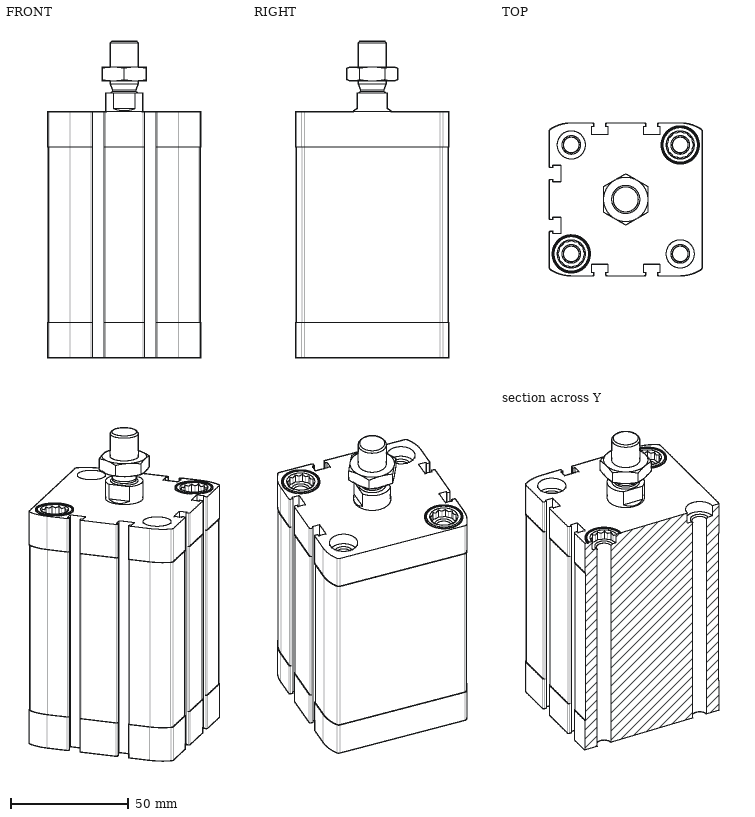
import cadquery as cq
import math


width = 65.5
housing_height = 105.0
cap_height = 15.1
barrel_inset = 0.3
corner_radius = 16.5
corner_fillet = 1.4

slot_spacing = 22.2
slot_mouth_width = 5.0
slot_width = 6.9
slot_depth = 5.0
slot_lip = 1.6
slot_mouth_fillet = 0.5

hole_offset = 23.3
through_diameter = 6.6
countersink_diameter = 8.0
countersink_depth = 0.7
counterbore_diameter = 12.0
counterbore_depth = 5.1

socket_tip_diameter = 11.5
socket_valley_diameter = 10.7
socket_points = 12
socket_depth = 4.3
socket_mouth_diameter = 12.0
socket_mouth_depth = 1.2
groove_outer_diameter = 16.4
groove_floor_diameter = 15.5
groove_top_diameter = 14.7
groove_depth = 0.4

total_height = 135.2
rod_diameter = 16.0
rod_bottom_z = housing_height - cap_height
rod_shoulder_z = 113.0
neck_diameter = 10.1
neck_base_diameter = 11.8
neck_bottom_z = 113.6
neck_top_z = 114.4
thread_diameter = 12.0
thread_bottom_z = 117.0
tip_diameter = 10.7
tip_chamfer_height = 0.8
wrench_width = 13.0
wrench_bottom_z = 106.4
wrench_runout_height = 1.0

nut_width = 18.9
nut_height = 6.0
nut_bottom_z = 118.2
nut_chamfer_height = 0.5
nut_corner_diameter = nut_width / math.cos(math.pi / 6)


def bowed_block(height, inset):
    """Block with all sides drawn in by the inset and corners that curve in from the Y sides."""
    half = width / 2 - inset
    radius = corner_radius - inset
    run = half - hole_offset
    drop = radius - math.sqrt(radius**2 - run**2)
    mid_angle = math.asin(run / radius) / 2
    mid_x = hole_offset + radius * math.sin(mid_angle)
    mid_y = half - radius * (1 - math.cos(mid_angle))
    side_y = half - drop
    outline = (
        cq.Workplane("XY")
        .moveTo(-hole_offset, half)
        .lineTo(hole_offset, half)
        .threePointArc((mid_x, mid_y), (half, side_y))
        .lineTo(half, -side_y)
        .threePointArc((mid_x, -mid_y), (hole_offset, -half))
        .lineTo(-hole_offset, -half)
        .threePointArc((-mid_x, -mid_y), (-half, -side_y))
        .lineTo(-half, side_y)
        .threePointArc((-mid_x, mid_y), (-hole_offset, half))
        .close()
    )
    return outline.extrude(height).edges("|Z and (<X or >X)").fillet(corner_fillet)


def slot_cutter(height, inset):
    """T-slot with a rounded mouth that opens toward +Y, centred on X = 0."""
    face = width / 2 - inset
    floor = width / 2 - slot_depth
    lip = width / 2 - slot_lip
    mouth = slot_mouth_width / 2
    flare = mouth + slot_mouth_fillet
    arc_centre_y = face - slot_mouth_fillet
    arc_mid_x = flare - slot_mouth_fillet * math.cos(math.pi / 4)
    arc_mid_y = arc_centre_y + slot_mouth_fillet * math.sin(math.pi / 4)
    return (
        cq.Workplane("XY")
        .moveTo(-slot_width / 2, floor)
        .lineTo(slot_width / 2, floor)
        .lineTo(slot_width / 2, lip)
        .lineTo(mouth, lip)
        .lineTo(mouth, arc_centre_y)
        .threePointArc((arc_mid_x, arc_mid_y), (flare, face))
        .lineTo(-flare, face)
        .threePointArc((-arc_mid_x, arc_mid_y), (-mouth, arc_centre_y))
        .lineTo(-mouth, lip)
        .lineTo(-slot_width / 2, lip)
        .close()
        .extrude(height)
    )


def slotted_section(bottom_z, height, inset):
    """One length of the housing, with two slots in each side but +X."""
    section = bowed_block(height, inset)
    for side_angle in (0, 90, 180):
        for slot_x in (-slot_spacing / 2, slot_spacing / 2):
            cutter = slot_cutter(height, inset).translate((slot_x, 0, 0))
            section = section.cut(cutter.rotate((0, 0, 0), (0, 0, 1), side_angle))
    return section.translate((0, 0, bottom_z))


def disc(diameter, bottom_z, height):
    return cq.Workplane("XY").workplane(offset=bottom_z).circle(diameter / 2).extrude(height)


def cone(bottom_diameter, top_diameter, bottom_z, height):
    solid = cq.Solid.makeCone(bottom_diameter / 2, top_diameter / 2, height, cq.Vector(0, 0, bottom_z))
    return cq.Workplane("XY").add(solid)


def countersunk_hole(seat_z):
    """Through hole, countersunk where it meets the seat."""
    sink = cone(through_diameter, countersink_diameter, seat_z - countersink_depth, countersink_depth)
    return disc(through_diameter, 0, seat_z).union(sink)


def counterbored_hole():
    seat_z = housing_height - counterbore_depth
    return countersunk_hole(seat_z).union(disc(counterbore_diameter, seat_z, counterbore_depth))


def star_prism(bottom_z, height):
    """Star-shaped prism with its first tip on the X axis."""
    half_step = math.pi / socket_points
    corners = []
    for index in range(2 * socket_points):
        diameter = socket_valley_diameter if index % 2 else socket_tip_diameter
        angle = index * half_step
        corners.append((diameter / 2 * math.cos(angle), diameter / 2 * math.sin(angle)))
    return cq.Workplane("XY").workplane(offset=bottom_z).polyline(corners).close().extrude(height)


def ring_groove():
    """Shallow groove whose inner wall is a cone."""
    bottom_z = housing_height - groove_depth
    island = cone(groove_floor_diameter, groove_top_diameter, bottom_z, groove_depth)
    return disc(groove_outer_diameter, bottom_z, groove_depth).cut(island)


def socket_hole():
    """Star socket with a conical mouth, above a countersunk through hole."""
    seat_z = housing_height - socket_depth
    mouth_bottom_z = housing_height - socket_mouth_depth
    mouth = cone(socket_valley_diameter, socket_mouth_diameter, mouth_bottom_z, socket_mouth_depth)
    return countersunk_hole(seat_z).union(star_prism(seat_z, socket_depth)).union(mouth)


def make_housing():
    barrel_height = housing_height - 2 * cap_height
    housing = (
        slotted_section(0, cap_height, 0)
        .union(slotted_section(cap_height, barrel_height, barrel_inset))
        .union(slotted_section(housing_height - cap_height, cap_height, 0))
    )
    for side in (-1, 1):
        plain_corner = (side * hole_offset, -side * hole_offset, 0)
        socket_corner = (side * hole_offset, side * hole_offset, 0)
        housing = housing.cut(counterbored_hole().translate(plain_corner))
        housing = housing.cut(socket_hole().translate(socket_corner))
        housing = housing.cut(ring_groove().translate(socket_corner))
    return housing.cut(disc(rod_diameter, rod_bottom_z, cap_height))


def wrench_flat_cutter():
    """Flat on the +Y side of the rod, with a sloped run-out at its lower end."""
    flat_y = wrench_width / 2
    outer_y = rod_diameter / 2
    return (
        cq.Workplane("YZ")
        .moveTo(flat_y, rod_shoulder_z)
        .lineTo(flat_y, wrench_bottom_z)
        .lineTo(outer_y, wrench_bottom_z - wrench_runout_height)
        .lineTo(outer_y, rod_shoulder_z)
        .close()
        .extrude(rod_diameter / 2, both=True)
    )


def make_rod():
    profile = (
        cq.Workplane("XZ")
        .moveTo(0, rod_bottom_z)
        .lineTo(rod_diameter / 2, rod_bottom_z)
        .lineTo(rod_diameter / 2, rod_shoulder_z)
        .lineTo(neck_base_diameter / 2, rod_shoulder_z)
        .lineTo(neck_diameter / 2, neck_bottom_z)
        .lineTo(neck_diameter / 2, neck_top_z)
        .lineTo(thread_diameter / 2, thread_bottom_z)
        .lineTo(thread_diameter / 2, total_height - tip_chamfer_height)
        .lineTo(tip_diameter / 2, total_height)
        .lineTo(0, total_height)
        .close()
    )
    rod = profile.revolve(360, (0, 0), (0, 1))
    flat = wrench_flat_cutter()
    return rod.cut(flat).cut(flat.mirror("XZ"))


def make_nut():
    """Hexagon nut with corners on the Y axis, its corners trimmed by cones at both ends."""
    hexagon = (
        cq.Workplane("XY")
        .polygon(6, nut_corner_diameter)
        .extrude(nut_height)
        .rotate((0, 0, 0), (0, 0, 1), 90)
    )
    envelope = (
        cq.Workplane("XZ")
        .lineTo(nut_width / 2, 0)
        .lineTo(nut_corner_diameter / 2, nut_chamfer_height)
        .lineTo(nut_corner_diameter / 2, nut_height - nut_chamfer_height)
        .lineTo(nut_width / 2, nut_height)
        .lineTo(0, nut_height)
        .close()
        .revolve(360, (0, 0), (0, 1))
    )
    nut = hexagon.intersect(envelope).cut(disc(thread_diameter, 0, nut_height))
    return nut.translate((0, 0, nut_bottom_z))


housing = make_housing()
rod = make_rod()
nut = make_nut()

result = cq.Compound.makeCompound([housing.solids().val(), rod.solids().val(), nut.solids().val()])